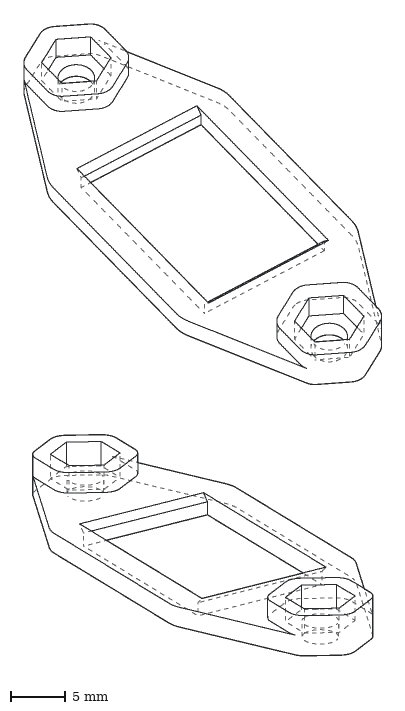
import cadquery as cq
import math

LENGTH = 49.65
WIDTH = 19.9
PLATE_THICKNESS = 2.0
TOTAL_HEIGHT = 4.0
BOSS_SPACING = 40.0
BOSS_WALL = 1.65
HOLE_DIAMETER = 3.4
POCKET_FLOOR = 1.6
WINDOW_TOP_LENGTH = 20.8
WINDOW_BOTTOM_LENGTH = 19.45
WINDOW_WIDTH = 13.55

WINDOW_BEVEL_DEPTH = (WINDOW_TOP_LENGTH - WINDOW_BOTTOM_LENGTH) / 2
POCKET_RADIUS = (LENGTH - BOSS_SPACING) / 2 - BOSS_WALL
FRAME_BORDER = (WIDTH - WINDOW_WIDTH) / 2
BOSS_CENTERS = [(-BOSS_SPACING / 2, 0), (BOSS_SPACING / 2, 0)]


def rounded_hull(circles):
    """Close a wire around (x, y, radius) circles, given counter-clockwise, with arcs and tangents."""
    normals = []
    for (x0, y0, r0), (x1, y1, r1) in zip(circles, circles[1:] + circles[:1]):
        direction = math.atan2(y1 - y0, x1 - x0)
        tilt = math.acos((r0 - r1) / math.hypot(x1 - x0, y1 - y0))
        normals.append(direction - tilt)

    def rim_point(circle, angle):
        x, y, radius = circle
        return (x + radius * math.cos(angle), y + radius * math.sin(angle))

    outline = cq.Workplane("XY").moveTo(*rim_point(circles[0], normals[0]))
    for index in range(1, len(circles) + 1):
        circle = circles[index % len(circles)]
        arrive = normals[index - 1]
        turn = (normals[index % len(circles)] - arrive) % (2 * math.pi)
        outline = outline.lineTo(*rim_point(circle, arrive))
        outline = outline.threePointArc(rim_point(circle, arrive + turn / 2), rim_point(circle, arrive + turn))
    return outline.close()


def hexagon_corners(center_x, first, count):
    """Rounding circles on consecutive pocket corners, starting at corner number first."""
    corners = []
    for index in range(first, first + count):
        angle = math.radians(60 * index)
        corners.append((center_x + POCKET_RADIUS * math.cos(angle), POCKET_RADIUS * math.sin(angle), BOSS_WALL))
    return corners


def frame_corner(side_x, side_y):
    return (side_x * WINDOW_BOTTOM_LENGTH / 2, side_y * WINDOW_WIDTH / 2, FRAME_BORDER)


plate_circles = (
    hexagon_corners(BOSS_SPACING / 2, -1, 3)
    + [frame_corner(1, 1), frame_corner(-1, 1)]
    + hexagon_corners(-BOSS_SPACING / 2, 2, 3)
    + [frame_corner(-1, -1), frame_corner(1, -1)]
)
result = rounded_hull(plate_circles).extrude(PLATE_THICKNESS)

for center_x, _ in BOSS_CENTERS:
    result = result.union(rounded_hull(hexagon_corners(center_x, 0, 6)).extrude(TOTAL_HEIGHT))

pockets = (
    cq.Workplane("XY", origin=(0, 0, POCKET_FLOOR))
    .pushPoints(BOSS_CENTERS)
    .polygon(6, 2 * POCKET_RADIUS)
    .extrude(TOTAL_HEIGHT - POCKET_FLOOR)
)
holes = cq.Workplane("XY").pushPoints(BOSS_CENTERS).circle(HOLE_DIAMETER / 2).extrude(TOTAL_HEIGHT)
result = result.cut(pockets).cut(holes)

bevel_start = PLATE_THICKNESS - WINDOW_BEVEL_DEPTH
window = (
    cq.Workplane("XZ")
    .moveTo(-WINDOW_BOTTOM_LENGTH / 2, 0)
    .lineTo(WINDOW_BOTTOM_LENGTH / 2, 0)
    .lineTo(WINDOW_BOTTOM_LENGTH / 2, bevel_start)
    .lineTo(WINDOW_TOP_LENGTH / 2, PLATE_THICKNESS)
    .lineTo(-WINDOW_TOP_LENGTH / 2, PLATE_THICKNESS)
    .lineTo(-WINDOW_BOTTOM_LENGTH / 2, bevel_start)
    .close()
    .extrude(WINDOW_WIDTH / 2, both=True)
)
result = result.cut(window)